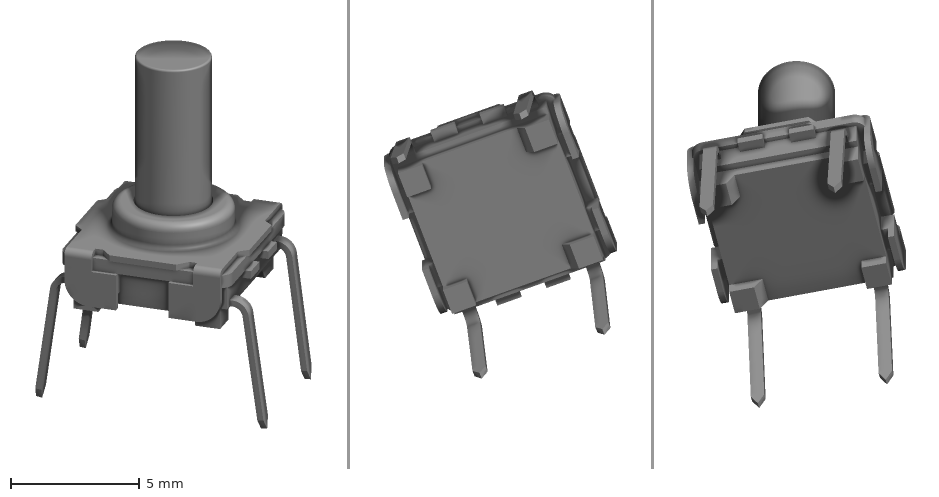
import cadquery as cq
import math


tip_z = -4.25
tab_bottom = 0.41
base_bottom = 0.47
base_top = 0.88
window_bottom = 1.0
flange_bottom = 1.9
cover_top = 2.69
collar_top = 3.75
pusher_top = 9.91

sheet = 0.25
cover_half = 3.6
cover_corner_x = 3.21
cover_outer_y = 3.65
fold_radius = 0.28
side_step = (1.27, 1.6)
notch_start = 1.37
notch_slant_end = 1.78
notch_end = 2.1
notch_floor_y = 3.17
tab_foot_x = 1.09
tab_corner_radius = 1.0

flange_half = 3.5
flange_corner_radius = 0.51
body_half_x = 3.31
body_half_y = 3.13
base_half_x = 3.03
foot_inner_x = 2.0
foot_inner_y = 2.14
foot_chamfer_length = 0.34
nub_inner_y = 0.52
nub_outer_y = 1.52
nub_outer_x = 3.74
nub_height = 0.33

collar_diameter = 4.8
collar_round = 0.34
collar_flare = 0.2
bore_diameter = 3.1
pusher_diameter = 3.0
pusher_edge = 0.08

lead_width = 0.54
lead_y = 2.55
lead_thickness = 0.25
lead_bend_radius = 0.68
lead_bend_x = 3.43
lead_tip_x = 4.77
lead_point_length = 0.45
lead_cut_rise = 0.034
high_lead_top = 1.57
low_lead_top = 1.15

cover_bottom = cover_top - sheet


def box(x_range, y_range, z_range):
    """Box from its limits along X, Y and Z."""
    (x0, x1), (y0, y1), (z0, z1) = x_range, y_range, z_range
    return cq.Workplane("XY").box(x1 - x0, y1 - y0, z1 - z0, centered=False).translate((x0, y0, z0))


def centered_box(half_x, half_y, z_range):
    return box((-half_x, half_x), (-half_y, half_y), z_range)


def both_sides(shape, plane):
    """The shape together with its mirror image."""
    return shape.union(shape.mirror(plane))


def make_housing():
    flange = centered_box(flange_half, flange_half, (flange_bottom, cover_bottom))
    flange = flange.edges("|Z").fillet(flange_corner_radius)
    body = centered_box(body_half_x, body_half_y, (base_top, flange_bottom))
    base = centered_box(base_half_x, body_half_y, (base_bottom, base_top))
    return flange.union(body).union(base)


def make_feet():
    """Four corner feet; the +Y pair slopes up to the base on its inner side."""
    foot_length_x = base_half_x - foot_inner_x
    plain_foot = box((foot_inner_x, base_half_x), (-body_half_y, -foot_inner_y), (0, base_top))
    sloped_foot = (
        cq.Workplane("YZ", origin=(foot_inner_x, 0, 0))
        .moveTo(foot_inner_y, 0)
        .lineTo(body_half_y, 0)
        .lineTo(body_half_y, base_bottom)
        .lineTo(foot_inner_y - foot_chamfer_length, base_bottom)
        .close()
        .extrude(foot_length_x)
    )
    return both_sides(plain_foot.union(sloped_foot), "YZ")


def make_nubs():
    """Four small latching nubs on the X sides of the housing."""
    nub = box(
        (0, nub_outer_x),
        (nub_inner_y, nub_outer_y),
        (flange_bottom - nub_height, flange_bottom),
    )
    return both_sides(both_sides(nub, "XZ"), "YZ")


def make_cover():
    """Bent sheet cover with slanted tongues on all sides and four hooked tabs folded down."""
    channel = centered_box(cover_corner_x, cover_outer_y, (tab_bottom, cover_top))
    channel = channel.edges("|X and >Z").fillet(fold_radius)
    inside = centered_box(cover_corner_x, cover_outer_y - sheet, (tab_bottom, cover_bottom))
    channel = channel.cut(inside).edges("|Y and <Z").fillet(tab_corner_radius)

    window = box((-notch_end, notch_end), (notch_floor_y, cover_outer_y), (window_bottom, cover_top))
    foot_gap = box((-tab_foot_x, tab_foot_x), (notch_floor_y, cover_outer_y), (tab_bottom, window_bottom))
    channel = channel.cut(both_sides(window.union(foot_gap), "XZ"))

    end_tongue = (
        cq.Workplane("XY", origin=(0, 0, cover_bottom))
        .moveTo(-notch_slant_end, notch_floor_y)
        .lineTo(-notch_start, cover_half)
        .lineTo(notch_start, cover_half)
        .lineTo(notch_slant_end, notch_floor_y)
        .close()
        .extrude(sheet)
    )
    step_start, step_end = side_step
    side_tongue = (
        cq.Workplane("XY", origin=(0, 0, cover_bottom))
        .moveTo(cover_corner_x, -step_end)
        .lineTo(cover_half, -step_start)
        .lineTo(cover_half, step_start)
        .lineTo(cover_corner_x, step_end)
        .close()
        .extrude(sheet)
    )
    return channel.union(both_sides(end_tongue, "XZ")).union(both_sides(side_tongue, "YZ"))


def make_window_blocks():
    """Housing blocks that fill the windows inside the tab hooks."""
    block = box(
        (tab_foot_x, notch_end),
        (-cover_outer_y, -body_half_y),
        (window_bottom, flange_bottom),
    )
    return both_sides(both_sides(block, "XZ"), "YZ")


def make_collar():
    """Solid collar on the cover with a flared foot and a rounded top."""
    radius = collar_diameter / 2
    flare_radius = radius + collar_flare
    return (
        cq.Workplane("XZ")
        .moveTo(0, cover_top)
        .lineTo(flare_radius, cover_top)
        .radiusArc((radius, cover_top + collar_flare), collar_flare)
        .lineTo(radius, collar_top - collar_round)
        .radiusArc((radius - collar_round, collar_top), -collar_round)
        .lineTo(0, collar_top)
        .close()
        .revolve(360, (0, 0, 0), (0, 1, 0))
    )


def make_cylinder(diameter, z_range):
    bottom, top = z_range
    return cq.Workplane("XY", origin=(0, 0, bottom)).circle(diameter / 2).extrude(top - bottom)


def make_lead(top, center_y):
    """Bent lead on the +X side: flat run, round bend and a leg splayed out to a pointed tip."""
    center_z = top - lead_bend_radius
    inner_radius = lead_bend_radius - lead_thickness

    reach = lead_tip_x - lead_bend_x
    drop = center_z - tip_z
    outer_drop = drop - lead_cut_rise
    tip_distance = math.hypot(reach, outer_drop)
    splay = math.acos(lead_bend_radius / tip_distance) - math.atan2(outer_drop, reach)
    normal = (math.cos(splay), math.sin(splay))
    along = (math.sin(splay), -math.cos(splay))

    leg_length = (drop + inner_radius * normal[1]) / math.cos(splay)

    def bend_point(radius, angle):
        return (lead_bend_x + radius * math.cos(angle), center_z + radius * math.sin(angle))

    def leg_end(radius):
        x, z = bend_point(radius, splay)
        return (x + leg_length * along[0], z + leg_length * along[1])

    mid_angle = (splay + math.pi / 2) / 2
    strip = (
        cq.Workplane("XZ", origin=(0, center_y + lead_width / 2, 0))
        .moveTo(0, top)
        .lineTo(lead_bend_x, top)
        .threePointArc(bend_point(lead_bend_radius, mid_angle), bend_point(lead_bend_radius, splay))
        .lineTo(*leg_end(lead_bend_radius))
        .lineTo(*leg_end(inner_radius))
        .lineTo(*bend_point(inner_radius, splay))
        .threePointArc(bend_point(inner_radius, mid_angle), bend_point(inner_radius, math.pi / 2))
        .lineTo(0, top - lead_thickness)
        .close()
        .extrude(lead_width)
    )

    inner_tip_x, inner_tip_z = leg_end(inner_radius)
    tip_plane = cq.Plane(
        origin=(inner_tip_x, center_y, inner_tip_z),
        xDir=(0, 1, 0),
        normal=(normal[0], 0, normal[1]),
    )
    for side in (-1, 1):
        wedge = (
            cq.Workplane(tip_plane)
            .moveTo(0, 0)
            .lineTo(side * lead_width / 2, lead_point_length)
            .lineTo(side * lead_width, lead_point_length)
            .lineTo(side * lead_width, 0)
            .close()
            .extrude(lead_thickness)
        )
        strip = strip.cut(wedge)
    return strip


def make_leads():
    pair = make_lead(high_lead_top, lead_y).union(make_lead(low_lead_top, -lead_y))
    return both_sides(pair, "YZ")


switch = make_housing().union(make_feet()).union(make_nubs())
switch = switch.union(make_cover()).union(make_window_blocks()).union(make_collar())
switch = switch.cut(make_cylinder(bore_diameter, (cover_bottom, collar_top)))
pusher = make_cylinder(pusher_diameter, (base_top, pusher_top)).faces(">Z").edges().fillet(pusher_edge)
result = switch.union(pusher).union(make_leads())